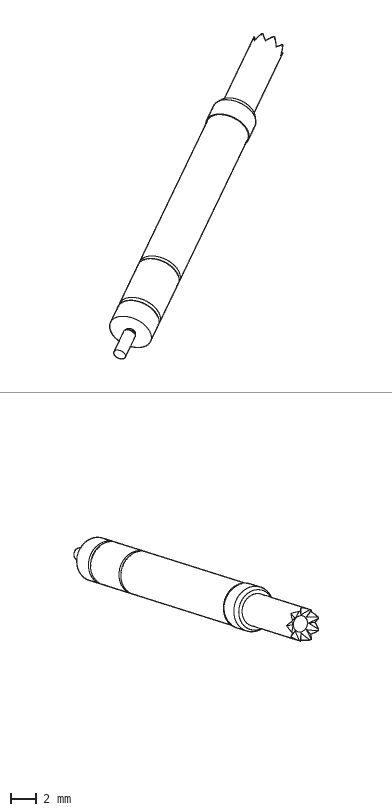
import cadquery as cq

TOTAL_LENGTH = 34.5
TIP_Y = TOTAL_LENGTH / 2
TAIL_Y = -TIP_Y

PIN_DIAMETER = 1.0
NECK_DIAMETER = 0.83
PIN_LENGTH = 2.3
NECK_LENGTH = 0.2

BARREL_RADIUS = 1.75
BARREL_END_Y = TAIL_Y + PIN_LENGTH + NECK_LENGTH
END_CAP_LENGTH = 1.8
GROOVE_DEPTH = 0.15
CAP_GROOVE_WIDTH = 0.3
MIDDLE_GROOVE_WIDTH = 0.28
MIDDLE_SECTION_LENGTH = 4.35

COLLAR_RADIUS = 1.83
TAIL_TO_COLLAR = 25.0
COLLAR_BOTTOM_Y = TAIL_Y + TAIL_TO_COLLAR
COLLAR_LENGTH = 2.0
COLLAR_NOSE_RADIUS = 1.62
COLLAR_NOSE_LENGTH = 0.4

PLUNGER_RADIUS = 1.3
VALLEY_RADIUS = PLUNGER_RADIUS / 2
VALLEY_DEPTH = 0.75
TOOTH_COUNT = 8
NOTCH_DEPTH = 0.7
NOTCH_WIDTH = 0.9


def cylinder(radius, start_y, end_y):
    """Cylinder on the Y axis between two stations."""
    return cq.Workplane("XZ", origin=(0, start_y, 0)).circle(radius).extrude(start_y - end_y)


def revolve(points):
    """Solid of revolution about Y from a (radius, y) half section."""
    return cq.Workplane("XY").polyline(points).close().revolve(360, (0, 0), (0, 1))


def add_groove(outline, bottom_y, width):
    """Continue a half section up the barrel side to a groove and round its arc floor."""
    floor = (BARREL_RADIUS - GROOVE_DEPTH, bottom_y + width / 2)
    top = (BARREL_RADIUS, bottom_y + width)
    return outline.lineTo(BARREL_RADIUS, bottom_y).threePointArc(floor, top)


def barrel():
    """Barrel turned in one piece from the tail face to the collar."""
    cap_groove_y = BARREL_END_Y + END_CAP_LENGTH
    middle_groove_y = cap_groove_y + CAP_GROOVE_WIDTH + MIDDLE_SECTION_LENGTH
    outline = cq.Workplane("XY").moveTo(0, BARREL_END_Y).lineTo(BARREL_RADIUS, BARREL_END_Y)
    outline = add_groove(outline, cap_groove_y, CAP_GROOVE_WIDTH)
    outline = add_groove(outline, middle_groove_y, MIDDLE_GROOVE_WIDTH)
    outline = outline.lineTo(BARREL_RADIUS, COLLAR_BOTTOM_Y).lineTo(0, COLLAR_BOTTOM_Y).close()
    return outline.revolve(360, (0, 0), (0, 1))


def collar():
    """Collar whose nose tapers toward the plunger."""
    top = COLLAR_BOTTOM_Y + COLLAR_LENGTH
    shoulder = top - COLLAR_NOSE_LENGTH
    return revolve([
        (0, COLLAR_BOTTOM_Y),
        (COLLAR_RADIUS, COLLAR_BOTTOM_Y),
        (COLLAR_RADIUS, shoulder),
        (COLLAR_NOSE_RADIUS, top),
        (0, top),
    ])


def plunger():
    """Plunger with V notches cut outward from the ring valley around the centre point."""
    body = revolve([
        (0, COLLAR_BOTTOM_Y),
        (PLUNGER_RADIUS, COLLAR_BOTTOM_Y),
        (PLUNGER_RADIUS, TIP_Y),
        (VALLEY_RADIUS, TIP_Y - VALLEY_DEPTH),
        (0, TIP_Y),
    ])
    half_width = NOTCH_WIDTH / 2
    notch = (
        cq.Workplane("XY", origin=(0, 0, VALLEY_RADIUS))
        .polyline([(-half_width, TIP_Y), (0, TIP_Y - NOTCH_DEPTH), (half_width, TIP_Y)])
        .close()
        .extrude(PLUNGER_RADIUS)
    )
    for index in range(TOOTH_COUNT):
        body = body.cut(notch.rotate((0, 0, 0), (0, 1, 0), index * 360 / TOOTH_COUNT))
    return body


pin = cylinder(PIN_DIAMETER / 2, TAIL_Y, TAIL_Y + PIN_LENGTH)
neck = cylinder(NECK_DIAMETER / 2, TAIL_Y + PIN_LENGTH, BARREL_END_Y)
result = pin.union(neck).union(barrel()).union(collar()).union(plunger())